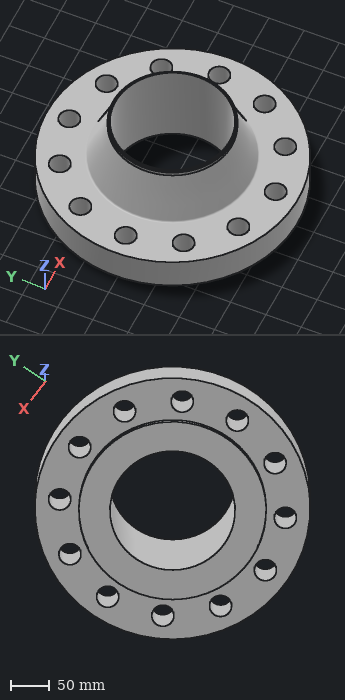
import cadquery as cq
import math

flange_diameter = 355.5
flange_thickness = 48.0
face_diameter = 241.7
face_height = 7.8

overall_height = 125.0
hub_base_diameter = 222.2
neck_diameter = 168.0
neck_height = 7.0
hub_fillet_radius = 3.2
bore_diameter = 161.5
lip_chamfer = 1.5

bolt_count = 12
bolt_circle_diameter = 292.2
bolt_hole_diameter = 28.5

flange_top = face_height + flange_thickness
neck_bottom = overall_height - neck_height


def flange_plate():
    """Raised face at the bottom with the flange disc on it."""
    face = cq.Workplane("XY").circle(face_diameter / 2).extrude(face_height)
    disc = (
        cq.Workplane("XY")
        .workplane(offset=face_height)
        .circle(flange_diameter / 2)
        .extrude(flange_thickness)
    )
    return face.union(disc)


def hub():
    """Tapered hub with a straight welding neck, filleted onto the flange top."""
    base_radius = hub_base_diameter / 2
    neck_radius = neck_diameter / 2
    taper_angle = math.atan2(neck_bottom - flange_top, base_radius - neck_radius)

    tangent = hub_fillet_radius * math.tan(taper_angle / 2)
    fillet_outer = base_radius + tangent
    fillet_inner = base_radius - tangent * math.cos(taper_angle)
    fillet_top = flange_top + tangent * math.sin(taper_angle)
    middle_x = fillet_outer - hub_fillet_radius * math.sin(taper_angle / 2)
    middle_z = flange_top + hub_fillet_radius * (1 - math.cos(taper_angle / 2))

    profile = (
        cq.Workplane("XZ")
        .moveTo(0, face_height)
        .lineTo(fillet_outer, face_height)
        .lineTo(fillet_outer, flange_top)
        .threePointArc((middle_x, middle_z), (fillet_inner, fillet_top))
        .lineTo(neck_radius, neck_bottom)
        .lineTo(neck_radius, overall_height - lip_chamfer)
        .lineTo(neck_radius - lip_chamfer, overall_height)
        .lineTo(0, overall_height)
        .close()
    )
    return profile.revolve(360, (0, 0, 0), (0, 1, 0))


def bore():
    """Straight bore through the whole part."""
    return cq.Workplane("XY").circle(bore_diameter / 2).extrude(overall_height)


def bolt_holes():
    """Ring of through holes, one of them on the +X axis."""
    return (
        cq.Workplane("XY")
        .polarArray(bolt_circle_diameter / 2, 0, 360, bolt_count)
        .circle(bolt_hole_diameter / 2)
        .extrude(flange_top)
    )


result = flange_plate().union(hub()).cut(bore()).cut(bolt_holes())